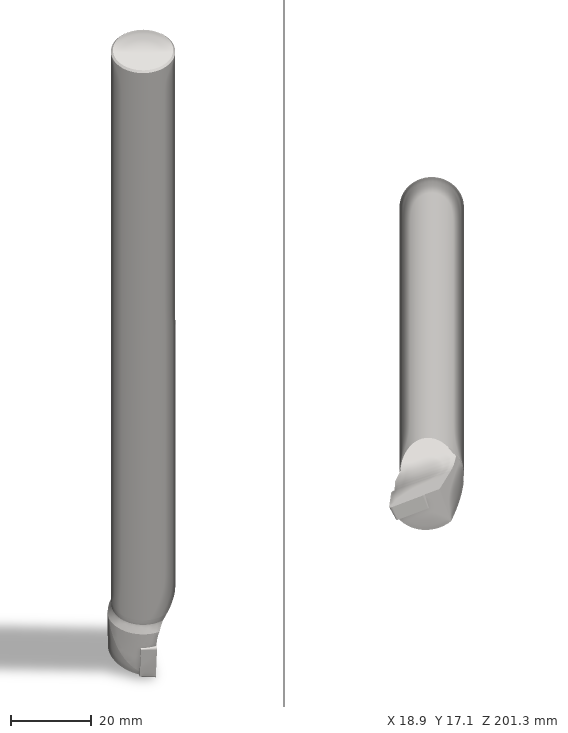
import cadquery as cq
import math

overall_length = 201.25
shank_radius = 8.0
shank_chamfer = 0.5
shank_end_z = 17.3

neck_radius = 7.9
neck_end_z = 15.7
head_top_radius = 9.09
head_top_z = 13.6
head_taper_angle = 5.0

relief_radius = 9.09
relief_center_x = relief_radius - shank_radius

back_start_z = 17.1
back_angle = 19.5

end_setback = 0.3
end_relief_angle = 9.0

insert_corner_angle = 80.0
insert_inscribed_diameter = 9.525
insert_thickness = 3.97
insert_flank_angle = 7.0
insert_nose_radius = 0.8
edge_lead_angle = 5.0

tip_reach = 10.89
radial_rake = 6.0
axial_rake = 3.0

gullet_flat_end_z = 13.2
gullet_slope_angle = 34.0
gullet_blend_radius = 10.0

cutter_reach = 40.0

half_corner = math.radians(insert_corner_angle / 2)
bisector_angle = half_corner + math.radians(edge_lead_angle)
nose_shortfall = insert_nose_radius * (math.cos(bisector_angle) / math.sin(half_corner) - 1)
corner_x = tip_reach + nose_shortfall
corner_z = -nose_shortfall


def seat(body):
    """Tilt a body from the flat X-Z position to the rake angles, turning about the sharp corner."""
    corner = cq.Vector(corner_x, 0, corner_z)
    body = body.rotate(corner, corner + cq.Vector(1, 0, 0), -axial_rake)
    return body.rotate(corner, corner + cq.Vector(0, 0, 1), -radial_rake)


def edge_points():
    """Corners of the rhombus in X-Z, starting at the cutting corner."""
    side = insert_inscribed_diameter / math.sin(math.radians(insert_corner_angle))
    along = side * math.cos(math.radians(edge_lead_angle))
    across = side * math.sin(math.radians(edge_lead_angle))
    return [
        (corner_x, corner_z),
        (corner_x - across, corner_z + along),
        (corner_x - across - along, corner_z + along + across),
        (corner_x - along, corner_z + across),
    ]


def make_insert():
    """Rounded rhombic plate, its rake face towards +Y and its flanks tapering away from the edges."""
    corners = edge_points()
    outline = cq.Sketch().polygon([*corners, corners[0]]).vertices().fillet(insert_nose_radius)
    plate = cq.Workplane("XZ").placeSketch(outline).extrude(insert_thickness, taper=insert_flank_angle)
    return seat(plate)


def turned_blank():
    """Shank, neck and flared head, the head widening towards the tip."""
    head_end_radius = head_top_radius + head_top_z * math.tan(math.radians(head_taper_angle))
    profile = (
        cq.Workplane("XZ")
        .lineTo(head_end_radius, 0)
        .lineTo(head_top_radius, head_top_z)
        .lineTo(neck_radius, neck_end_z)
        .lineTo(neck_radius, shank_end_z)
        .lineTo(shank_radius, shank_end_z)
        .lineTo(shank_radius, overall_length - shank_chamfer)
        .lineTo(shank_radius - shank_chamfer, overall_length)
        .lineTo(0, overall_length)
        .close()
    )
    return profile.revolve(360, (0, 0, 0), (0, 1, 0))


def relief_envelope():
    """Off-centre cylinder that bounds the whole holder and trims the -X side of the head."""
    return cq.Workplane("XY").center(relief_center_x, 0).circle(relief_radius).extrude(overall_length)


def back_cutter():
    """Wedge that cuts the sloping flat on the -X side."""
    run = back_start_z + cutter_reach
    return (
        cq.Workplane("XZ")
        .moveTo(-shank_radius, back_start_z)
        .lineTo(-shank_radius + run * math.tan(math.radians(back_angle)), -cutter_reach)
        .lineTo(-cutter_reach, -cutter_reach)
        .lineTo(-cutter_reach, back_start_z)
        .close()
        .extrude(cutter_reach, both=True)
    )


def end_cutter():
    """Block below the end face."""
    pivot = cq.Vector(corner_x, 0, end_setback)
    width = 2 * cutter_reach
    block = cq.Workplane("XY", origin=pivot).rect(width, width).extrude(-cutter_reach)
    block = block.rotate(pivot, pivot + cq.Vector(0, 1, 0), edge_lead_angle)
    return block.rotate(pivot, pivot + cq.Vector(1, 0, 0), -end_relief_angle)


def gullet_cutter():
    """Space over the rake face, with a blended slope that runs out through the shank."""
    slope = math.tan(math.radians(gullet_slope_angle))
    profile = (
        cq.Workplane("YZ")
        .moveTo(0, -cutter_reach)
        .lineTo(0, gullet_flat_end_z)
        .lineTo(cutter_reach * slope, gullet_flat_end_z + cutter_reach)
        .lineTo(cutter_reach * slope, -cutter_reach)
        .close()
        .extrude(cutter_reach, both=True)
    )
    floor_end = cq.selectors.NearestToPointSelector((0, 0, gullet_flat_end_z))
    return seat(profile.edges("|X").edges(floor_end).fillet(gullet_blend_radius))


insert = make_insert()
holder = turned_blank().intersect(relief_envelope())
holder = holder.cut(back_cutter()).cut(end_cutter()).cut(gullet_cutter())
holder = holder.cut(insert)

result = cq.Compound.makeCompound([holder.val(), insert.val()])